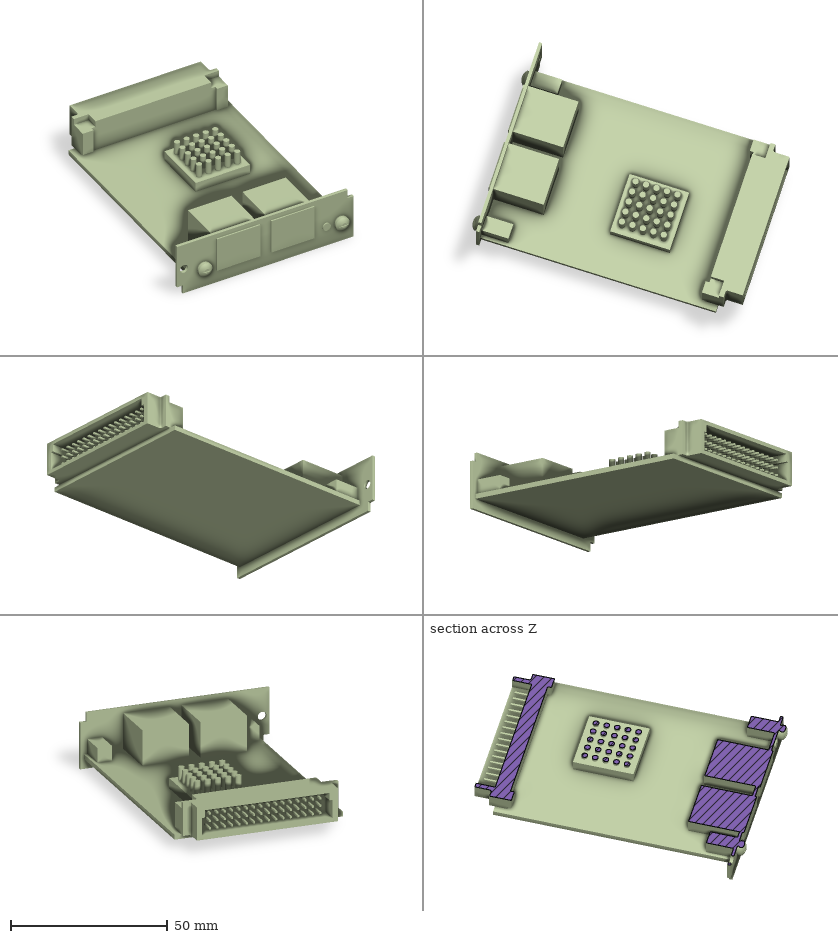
import cadquery as cq
import math

OVERALL_LENGTH = 90.2
OVERLAP = 0.2

BOARD_START = 7.5
BOARD_WIDTH = 57.8
BOARD_THICKNESS = 1.6

PANEL_START = 86.6
PANEL_THICKNESS = 1.1
PANEL_END = PANEL_START + PANEL_THICKNESS
PANEL_HEIGHT = 19.0
PANEL_WIDTH = 65.0
PANEL_BOTTOM = -5.05
PANEL_LEFT = 30.1
PANEL_RIGHT = PANEL_LEFT - PANEL_WIDTH
PANEL_TOP = PANEL_BOTTOM + PANEL_HEIGHT
PANEL_NOTCH_WIDTH = 2.2
PANEL_NOTCH_HEIGHT = 3.2
PANEL_HOLE_DIAMETER = 3.0
PANEL_HOLE_Y = -32.4
PANEL_HOLE_Z = 4.5

PROUD = 0.5
LED_DIAMETER = 2.8
LED_Y = 20.0

SOCKET_START = 69.7
SOCKET_WIDTH = 16.0
SOCKET_HEIGHT = 12.2
SOCKET_CENTERS_Y = (7.5, -12.5)

BLOCK_START = 77.55
BLOCK_SIZE = 5.05
SCREW_Y = 25.25
SCREW_Z = BLOCK_SIZE / 2
HEAD_DIAMETER = 5.0
COLLAR_DIAMETER = 4.6
DOME_HEIGHT = 1.0
TIP_DIAMETER = 1.8
SLOT_WIDTH = 0.6
SLOT_DEPTH = 0.4

SINK_SIZE = 20.0
SINK_X = 37.5
SINK_Y = 5.0
SINK_HEIGHT = 3.5
SINK_PIN_DIAMETER = 2.0
SINK_PIN_PITCH = 3.5
SINK_PIN_LENGTH = 4.6
SINK_PIN_COUNT = 5

HOUSING_WIDTH = 48.3
HOUSING_HEIGHT = 11.3
HOUSING_END = 11.6
WING_START = 5.6
WING_SPAN = 53.4
WING_CHAMFER = 0.45
NOTCH_START = 7.2
NOTCH_FLOOR = 9.0
NOTCH_INNER_SPAN = 42.75
EAR_END = 12.9
EAR_BOTTOM = 0.6
EAR_INNER_SPAN = 45.45

CAVITY_DEPTH = 6.3
CAVITY_BOTTOM = 1.3
CAVITY_STEP = 7.5
CAVITY_TOP = 10.0
CAVITY_LOWER_WIDTH = 44.7
CAVITY_UPPER_WIDTH = 42.75
CONTACT_START = 1.8
CONTACT_SIZE = 0.6
CONTACT_PITCH = 2.5
CONTACT_COLUMNS = 16
CONTACT_ROWS = 3
CONTACT_CENTER_Z = 5.3


def box(x_range, y_range, z_range):
    """Block between two limits along each axis."""
    x0, x1 = x_range
    y0, y1 = sorted(y_range)
    z0, z1 = z_range
    return cq.Workplane("XY").box(x1 - x0, y1 - y0, z1 - z0, centered=False).translate((x0, y0, z0))


def centered_box(x_range, width, z_range, y=0):
    """Block of the given width, centered on y."""
    return box(x_range, (y - width / 2, y + width / 2), z_range)


def cylinder_along_x(diameter, x_range, y, z):
    x0, x1 = x_range
    return cq.Workplane("YZ").center(y, z).circle(diameter / 2).extrude(x1 - x0).translate((x0, 0, 0))


def make_panel():
    panel = box((PANEL_START, PANEL_END), (PANEL_RIGHT, PANEL_LEFT), (PANEL_BOTTOM, PANEL_TOP))
    thickness = (PANEL_START, PANEL_END)
    upper_notch = box(
        thickness,
        (PANEL_LEFT - PANEL_NOTCH_WIDTH, PANEL_LEFT),
        (PANEL_TOP - PANEL_NOTCH_HEIGHT, PANEL_TOP),
    )
    lower_notch = box(
        thickness,
        (PANEL_RIGHT, PANEL_RIGHT + PANEL_NOTCH_WIDTH),
        (PANEL_BOTTOM, PANEL_BOTTOM + PANEL_NOTCH_HEIGHT),
    )
    hole = cylinder_along_x(PANEL_HOLE_DIAMETER, thickness, PANEL_HOLE_Y, PANEL_HOLE_Z)
    return panel.cut(upper_notch).cut(lower_notch).cut(hole)


def make_screw(y):
    """Collar and domed head with a horizontal driver slot."""
    head_start = PANEL_END + PROUD
    dome_start = OVERALL_LENGTH - DOME_HEIGHT
    head_radius = HEAD_DIAMETER / 2
    tip_radius = TIP_DIAMETER / 2
    center_depth = (head_radius**2 - tip_radius**2 - DOME_HEIGHT**2) / (2 * DOME_HEIGHT)
    dome_radius = math.hypot(head_radius, center_depth)
    mid_radius = (head_radius + tip_radius) / 2
    mid_x = dome_start - center_depth + math.sqrt(dome_radius**2 - mid_radius**2)
    head = (
        cq.Workplane("XY")
        .moveTo(PANEL_END - OVERLAP, 0)
        .lineTo(PANEL_END - OVERLAP, COLLAR_DIAMETER / 2)
        .lineTo(head_start, COLLAR_DIAMETER / 2)
        .lineTo(head_start, head_radius)
        .lineTo(dome_start, head_radius)
        .threePointArc((mid_x, mid_radius), (OVERALL_LENGTH, tip_radius))
        .lineTo(OVERALL_LENGTH, 0)
        .close()
        .revolve(360, (0, 0, 0), (1, 0, 0))
    )
    slot = centered_box(
        (OVERALL_LENGTH - SLOT_DEPTH, OVERALL_LENGTH), HEAD_DIAMETER, (-SLOT_WIDTH / 2, SLOT_WIDTH / 2)
    )
    return head.cut(slot).translate((0, y, SCREW_Z))


def make_heat_sink():
    base_range = (SINK_X - SINK_SIZE / 2, SINK_X + SINK_SIZE / 2)
    base = centered_box(base_range, SINK_SIZE, (-OVERLAP, SINK_HEIGHT), SINK_Y)
    pins = (
        cq.Workplane("XY")
        .workplane(offset=SINK_HEIGHT - OVERLAP)
        .center(SINK_X, SINK_Y)
        .rarray(SINK_PIN_PITCH, SINK_PIN_PITCH, SINK_PIN_COUNT, SINK_PIN_COUNT)
        .circle(SINK_PIN_DIAMETER / 2)
        .extrude(SINK_PIN_LENGTH + OVERLAP)
    )
    return base.union(pins)


def make_housing():
    """Housing with side wings, top corner notches and rear ears."""
    full_height = (0, HOUSING_HEIGHT)
    housing = centered_box((0, HOUSING_END), HOUSING_WIDTH, full_height)
    housing = housing.union(centered_box((WING_START, HOUSING_END), WING_SPAN, full_height))
    for side in (1, -1):
        wing_y = side * WING_SPAN / 2
        corner_y = side * HOUSING_WIDTH / 2
        chamfer = (
            cq.Workplane("XY")
            .moveTo(WING_START, corner_y)
            .lineTo(WING_START - WING_CHAMFER, corner_y)
            .lineTo(WING_START, corner_y + side * WING_CHAMFER)
            .close()
            .extrude(HOUSING_HEIGHT)
        )
        notch = box(
            (NOTCH_START, HOUSING_END), (side * NOTCH_INNER_SPAN / 2, wing_y), (NOTCH_FLOOR, HOUSING_HEIGHT)
        )
        ear = box(
            (HOUSING_END - OVERLAP, EAR_END), (side * EAR_INNER_SPAN / 2, wing_y), (EAR_BOTTOM, NOTCH_FLOOR)
        )
        housing = housing.union(chamfer).cut(notch).union(ear)
    return housing


def make_contacts():
    return (
        cq.Workplane("YZ")
        .workplane(offset=CONTACT_START)
        .center(0, CONTACT_CENTER_Z)
        .rarray(CONTACT_PITCH, CONTACT_PITCH, CONTACT_COLUMNS, CONTACT_ROWS)
        .rect(CONTACT_SIZE, CONTACT_SIZE)
        .extrude(CAVITY_DEPTH + OVERLAP - CONTACT_START)
    )


def make_connector():
    depth = (0, CAVITY_DEPTH)
    lower_cavity = centered_box(depth, CAVITY_LOWER_WIDTH, (CAVITY_BOTTOM, CAVITY_STEP))
    upper_cavity = centered_box(depth, CAVITY_UPPER_WIDTH, (CAVITY_STEP, CAVITY_TOP))
    return make_housing().cut(lower_cavity.union(upper_cavity)).union(make_contacts())


result = centered_box((BOARD_START, PANEL_START + OVERLAP), BOARD_WIDTH, (-BOARD_THICKNESS, 0))
result = result.union(make_panel())
for socket_y in SOCKET_CENTERS_Y:
    socket = centered_box((SOCKET_START, PANEL_END + PROUD), SOCKET_WIDTH, (-OVERLAP, SOCKET_HEIGHT), socket_y)
    result = result.union(socket)
for screw_y in (SCREW_Y, -SCREW_Y):
    block = centered_box((BLOCK_START, PANEL_START + OVERLAP), BLOCK_SIZE, (-OVERLAP, BLOCK_SIZE), screw_y)
    result = result.union(block).union(make_screw(screw_y))
led = cylinder_along_x(LED_DIAMETER, (PANEL_START, PANEL_END + PROUD), LED_Y, SCREW_Z)
result = result.union(led).union(make_heat_sink()).union(make_connector())